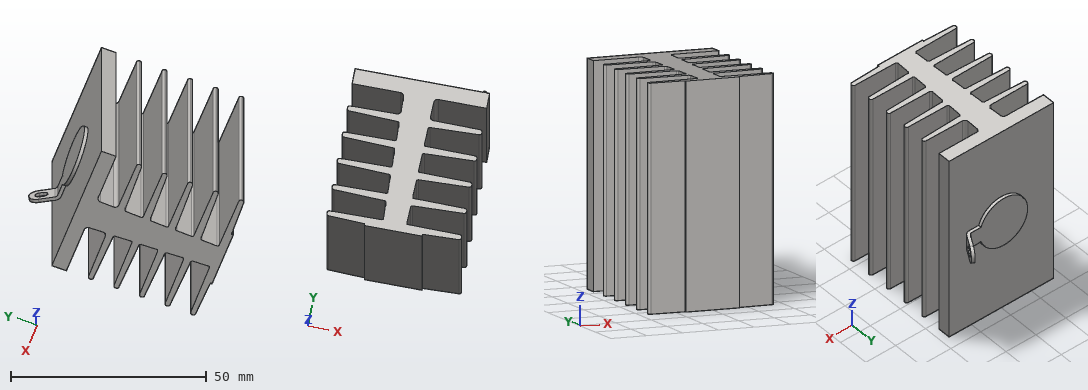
import cadquery as cq
import math

width = 35.0
depth = 40.0
length = 60.0
half_width = width / 2
plate_thickness = 4.0
plate_underside = depth - plate_thickness

web_half_at_plate = 3.95
web_half_at_front = 3.0
web_slope = (web_half_at_plate - web_half_at_front) / plate_underside

fin_count = 5
first_fin_y = 1.5
last_fin_y = 29.5
fin_pitch = (last_fin_y - first_fin_y) / (fin_count - 1)
tip_half_thickness = 0.65
upper_slope = 0.011
lower_slope = 0.036
tip_radius = 0.6
root_radius = 0.5
plate_groove_radius = 1.0

pad_half_width = 7.5

lug_thickness = 0.95
lug_center_z = length / 2
disc_radius = 8.0
tab_width = 5.0
bend_start_x = 10.75
bend_inner_radius = lug_thickness
bend_angle = 60.0
overall_depth = 47.35
tab_slot_width = 2.15
tab_slot_length = 3.25
tab_slot_edge_distance = 1.7


def web_half_width(y):
    """Half width of the tapered web at depth y behind the front face."""
    return web_half_at_front + web_slope * y


def fin_y(index):
    """Y of the middle of a fin tip, counted from the front."""
    return first_fin_y + index * fin_pitch


def fin_top(index, x):
    """Y of a fin's plate-facing side at distance x from the middle."""
    return fin_y(index) + tip_half_thickness + upper_slope * (half_width - x)


def fin_bottom(index, x):
    """Y of a fin's front-facing side at distance x from the middle."""
    return fin_y(index) - tip_half_thickness - lower_slope * (half_width - x)


def make_groove(index):
    """Space on the +X side between a fin and the next fin, or the plate."""
    floor_low = web_half_width(fin_y(index))
    low_radius = root_radius if index < fin_count - 1 else plate_groove_radius
    low = fin_top(index, floor_low)
    if index < fin_count - 1:
        floor_high = web_half_width(fin_y(index + 1))
        high = fin_bottom(index + 1, floor_high)
        mouth_high = fin_bottom(index + 1, half_width)
        high_radius = root_radius
    else:
        floor_high = web_half_at_plate
        high = plate_underside
        mouth_high = plate_underside
        high_radius = plate_groove_radius
    groove = (
        cq.Workplane("XY")
        .polyline([
            (half_width, fin_top(index, half_width)),
            (floor_low, low),
            (floor_high, high),
            (half_width, mouth_high),
        ])
        .close()
        .extrude(length)
    )
    middle = length / 2
    groove = groove.edges(cq.NearestToPointSelector((floor_low, low, middle))).fillet(low_radius)
    return groove.edges(cq.NearestToPointSelector((floor_high, high, middle))).fillet(high_radius)


def make_front_relief():
    """Wedge on the +X side that leaves the pad standing in front of the first fin."""
    return (
        cq.Workplane("XY")
        .polyline([
            (pad_half_width, 0),
            (half_width, 0),
            (half_width, fin_bottom(0, half_width)),
            (pad_half_width, fin_bottom(0, pad_half_width)),
        ])
        .close()
        .extrude(length)
    )


def make_heat_sink():
    body = cq.Workplane("XY").box(width, depth, length, centered=(True, False, False))
    cutters = [make_front_relief()]
    for index in range(fin_count):
        cutters.append(make_groove(index))
    for cutter in cutters:
        body = body.cut(cutter).cut(cutter.mirror("YZ"))
    tips_end_y = fin_y(fin_count - 1) + fin_pitch / 2
    tip_margin = tip_radius / 10
    for side in (-half_width, half_width):
        tip_box = cq.selectors.BoxSelector((side - tip_margin, 0, 0), (side + tip_margin, tips_end_y, length))
        body = body.edges("|Z").edges(tip_box).fillet(tip_radius)
    return body


def make_solder_lug():
    angle = math.radians(bend_angle)
    outer_radius = bend_inner_radius + lug_thickness
    top_y = depth + lug_thickness
    bend_center_y = top_y + bend_inner_radius

    def bend_point(radius, turn):
        return bend_start_x + radius * math.sin(turn), bend_center_y - radius * math.cos(turn)

    inner_end = bend_point(bend_inner_radius, angle)
    outer_end = bend_point(outer_radius, angle)
    tab_length = (overall_depth - inner_end[1]) / math.sin(angle)
    run = tab_length * math.cos(angle)
    rise = tab_length * math.sin(angle)

    strip = (
        cq.Workplane("XY", origin=(0, 0, lug_center_z))
        .moveTo(0, depth)
        .lineTo(bend_start_x, depth)
        .threePointArc(bend_point(outer_radius, angle / 2), outer_end)
        .line(run, rise)
        .lineTo(inner_end[0] + run, inner_end[1] + rise)
        .lineTo(*inner_end)
        .threePointArc(bend_point(bend_inner_radius, angle / 2), (bend_start_x, top_y))
        .lineTo(0, top_y)
        .close()
        .extrude(tab_width / 2, both=True)
    )

    tip_plane = cq.Plane(
        origin=(outer_end[0] + run, outer_end[1] + rise, lug_center_z),
        xDir=(math.cos(angle), math.sin(angle), 0),
        normal=(-math.sin(angle), math.cos(angle), 0),
    )
    end_radius = tab_width / 2
    tip_block = (
        cq.Workplane(tip_plane)
        .center(-end_radius / 2, 0)
        .rect(end_radius, tab_width)
        .extrude(lug_thickness)
    )
    round_end = cq.Workplane(tip_plane).center(-end_radius, 0).circle(end_radius).extrude(lug_thickness)
    slot_center = -tab_slot_edge_distance - tab_slot_length / 2
    slot = (
        cq.Workplane(tip_plane)
        .center(slot_center, 0)
        .slot2D(tab_slot_length, tab_slot_width)
        .extrude(lug_thickness)
    )
    tab = strip.cut(tip_block.cut(round_end)).cut(slot)

    disc = (
        cq.Workplane("XZ", origin=(0, depth, lug_center_z)).circle(disc_radius).extrude(-lug_thickness)
    )
    return disc.union(tab)


heat_sink = make_heat_sink()
solder_lug = make_solder_lug()

result = cq.Compound.makeCompound([heat_sink.val(), solder_lug.val()])